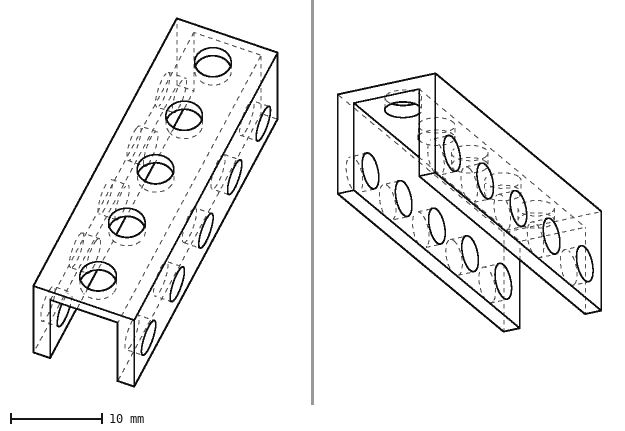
import cadquery as cq

length = 40.0
width = 12.0
height = 12.0
side_wall = 2.0
top_wall = 1.5

hole_diameter = 4.0
hole_count = 5
hole_pitch = length / hole_count
side_hole_height = 4.0


def hole_row(plane):
    """Cylinders spaced along Y, passing through the whole channel normal to the plane."""
    first_y = -hole_pitch * (hole_count - 1) / 2
    row = cq.Workplane(plane)
    centers = [cq.Vector(0, first_y + i * hole_pitch, 0) for i in range(hole_count)]
    local_centers = [row.plane.toLocalCoords(center).toTuple()[:2] for center in centers]
    return row.pushPoints(local_centers).circle(hole_diameter / 2).extrude(width + height, both=True)


body = cq.Workplane("XY").box(width, length, height, centered=(True, True, False))
cavity = cq.Workplane("XY").box(
    width - 2 * side_wall, length, height - top_wall, centered=(True, True, False)
)
top_holes = hole_row("XY")
side_holes = hole_row("YZ").translate((0, 0, side_hole_height))

result = body.cut(cavity).cut(top_holes).cut(side_holes)